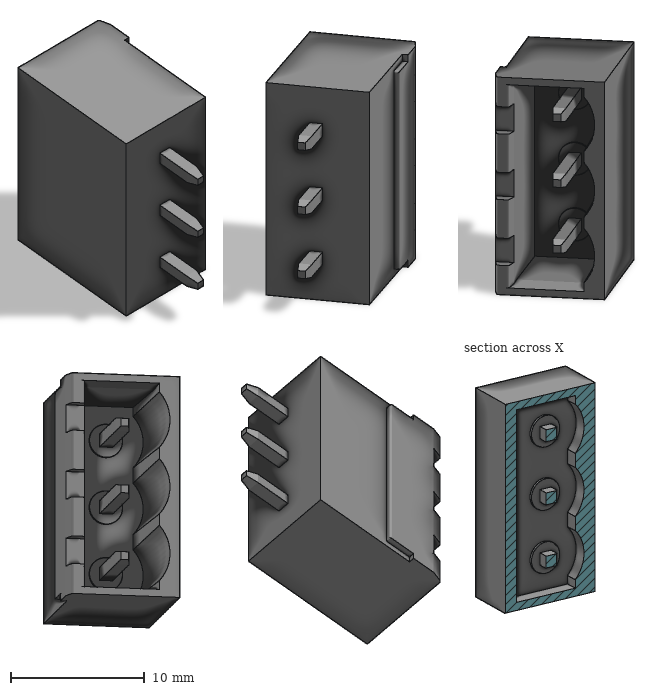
import cadquery as cq
import math

HOUSING_LENGTH = 12.0
HOUSING_DEPTH = 8.05
HEIGHT = 16.84

POLE_COUNT = 3
POLE_PITCH = 5.09
PIN_Y = 3.9

RAIL_TOP_Y = 8.5
RAIL_LENGTH = 3.03
RAIL_RAMP_LENGTH = 1.0
RAIL_NOSE_Y = 8.2
NOSE_RADIUS = 0.2

LATCH_END_X = 5.34
LATCH_INSET = 0.55
LATCH_FILLET = 0.13

CAVITY_DEPTH = 9.0
END_WALL = 0.55
END_WALL_DRAFT = 0.13
END_DRAFT_LENGTH = 1.99
MOUTH_LOW_Y = 1.57
FLOOR_LOW_Y = 1.82
MOUTH_HIGH_Y = 7.09
FLOOR_HIGH_Y = 7.0

SCALLOP_MOUTH_RADIUS = 3.15
SCALLOP_FLOOR_RADIUS = 2.86

FLARE_LENGTH = 1.0
FLARE_NOSE_Y = 7.3
FLARE_END_Y = MOUTH_HIGH_Y + (FLOOR_HIGH_Y - MOUTH_HIGH_Y) * FLARE_LENGTH / CAVITY_DEPTH

SLOT_WIDTH = 2.1

BOSS_DIAMETER = 2.53
BOSS_HEIGHT = 0.2

PIN_START_X = 1.5
PIN_END_X = 16.0
PIN_WIDTH = 1.0
PIN_TIP_WIDTH = 0.59
PIN_TAPER_LENGTH = 1.0

MID_Z = HEIGHT / 2
pole_heights = [MID_Z + (i - (POLE_COUNT - 1) / 2) * POLE_PITCH for i in range(POLE_COUNT)]


def cross_section(x):
    """Workplane at x with local axes along global Y and Z."""
    return cq.Workplane("YZ", origin=(x, 0, 0))


def make_housing():
    """Block with the ramped rail along the +Y mating edge."""
    return (
        cq.Workplane("XY")
        .moveTo(0, 0)
        .lineTo(HOUSING_LENGTH, 0)
        .lineTo(HOUSING_LENGTH, HOUSING_DEPTH)
        .lineTo(RAIL_LENGTH, HOUSING_DEPTH)
        .lineTo(RAIL_LENGTH, RAIL_TOP_Y)
        .lineTo(RAIL_RAMP_LENGTH, RAIL_TOP_Y)
        .lineTo(0, RAIL_NOSE_Y)
        .close()
        .extrude(HEIGHT)
    )


def make_latch_strip():
    """Strip that extends the rail between its inset ends."""
    strip = cq.Workplane("XY").box(
        LATCH_END_X - RAIL_LENGTH,
        RAIL_TOP_Y - HOUSING_DEPTH,
        HEIGHT - 2 * LATCH_INSET,
        centered=False,
    )
    strip = strip.faces(">X").edges("not <Y").fillet(LATCH_FILLET)
    return strip.translate((RAIL_LENGTH, HOUSING_DEPTH, LATCH_INSET))


def cavity_outline(plane, low_y, high_y, radius):
    """Closed outline over the full height whose low-Y side bulges into one arc per pole."""
    half_chord = math.sqrt(radius**2 - (PIN_Y - low_y) ** 2)
    outline = plane.moveTo(high_y, 0).lineTo(low_y, 0)
    for z in pole_heights:
        outline = outline.lineTo(low_y, z - half_chord)
        outline = outline.threePointArc((PIN_Y - radius, z), (low_y, z + half_chord))
    return outline.lineTo(low_y, HEIGHT).lineTo(high_y, HEIGHT).close()


def make_drafted_core():
    """Space between the Y walls, lofted from the mouth to the floor."""
    mouth = cavity_outline(cross_section(0), MOUTH_LOW_Y, MOUTH_HIGH_Y, SCALLOP_MOUTH_RADIUS)
    floor_plane = mouth.workplane(offset=CAVITY_DEPTH)
    return cavity_outline(floor_plane, FLOOR_LOW_Y, FLOOR_HIGH_Y, SCALLOP_FLOOR_RADIUS).loft(ruled=True)


def make_end_limits():
    """Space between the end walls, which taper in near the mouth and then run straight."""
    inner_wall = END_WALL + END_WALL_DRAFT
    return (
        cq.Workplane("XZ")
        .moveTo(0, END_WALL)
        .lineTo(END_DRAFT_LENGTH, inner_wall)
        .lineTo(CAVITY_DEPTH, inner_wall)
        .lineTo(CAVITY_DEPTH, HEIGHT - inner_wall)
        .lineTo(END_DRAFT_LENGTH, HEIGHT - inner_wall)
        .lineTo(0, HEIGHT - END_WALL)
        .close()
        .extrude(-HOUSING_DEPTH)
    )


def make_flare():
    """Wedge that widens the cavity mouth toward +Y."""
    return (
        cq.Workplane("XY")
        .moveTo(0, PIN_Y)
        .lineTo(FLARE_LENGTH, PIN_Y)
        .lineTo(FLARE_LENGTH, FLARE_END_Y)
        .lineTo(0, FLARE_NOSE_Y)
        .close()
        .extrude(HEIGHT)
    )


def make_slot(z):
    """Slot from the cavity out through the rail at one pole."""
    depth = RAIL_TOP_Y - FLARE_END_Y
    slot = cq.Workplane("XY").box(FLARE_LENGTH, depth, SLOT_WIDTH, centered=(False, False, True))
    return slot.translate((0, FLARE_END_Y, z))


def make_boss(z):
    """Round boss standing on the cavity floor around one pin."""
    return cross_section(CAVITY_DEPTH).center(PIN_Y, z).circle(BOSS_DIAMETER / 2).extrude(-BOSS_HEIGHT)


def make_pin(z):
    """Square pin with both ends tapered."""
    shank_start = PIN_START_X + PIN_TAPER_LENGTH
    shank_end = PIN_END_X - PIN_TAPER_LENGTH
    pin = (
        cross_section(shank_start)
        .center(PIN_Y, z)
        .rect(PIN_WIDTH, PIN_WIDTH)
        .extrude(shank_end - shank_start)
    )
    for base_x, offset in ((shank_start, -PIN_TAPER_LENGTH), (shank_end, PIN_TAPER_LENGTH)):
        tip = (
            cross_section(base_x)
            .center(PIN_Y, z)
            .rect(PIN_WIDTH, PIN_WIDTH)
            .workplane(offset=offset)
            .rect(PIN_TIP_WIDTH, PIN_TIP_WIDTH)
            .loft(ruled=True)
        )
        pin = pin.union(tip)
    return pin


cavity = make_drafted_core().union(make_flare()).intersect(make_end_limits())
result = make_housing().cut(cavity)
for nose_y in (RAIL_NOSE_Y, FLARE_NOSE_Y):
    result = result.edges(cq.NearestToPointSelector((0, nose_y, MID_Z))).fillet(NOSE_RADIUS)
result = result.union(make_latch_strip())
for pole_z in pole_heights:
    result = result.cut(make_slot(pole_z)).union(make_boss(pole_z)).union(make_pin(pole_z))